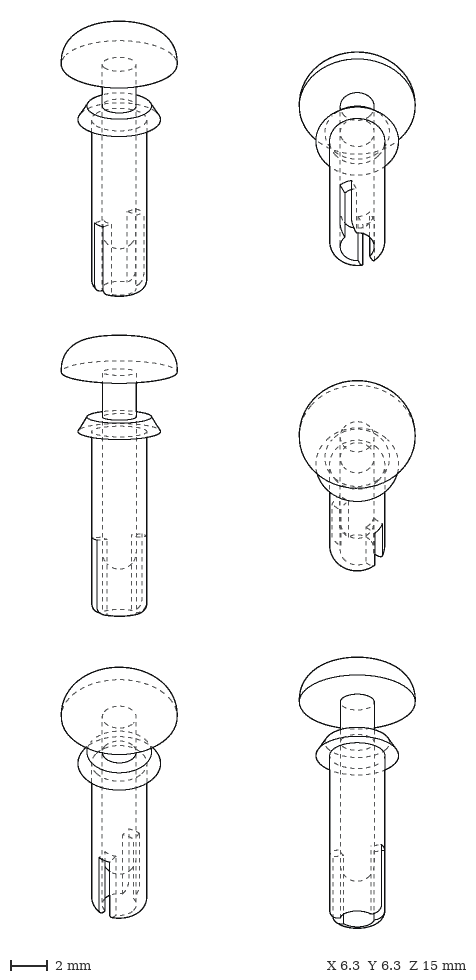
import cadquery as cq

total_height = 15.0

head_diameter = 6.3
head_height = 1.7
head_edge_radius = 1.5
shank_diameter = 1.85
shank_tip_z = 2.43
tip_radius = 0.92

sleeve_diameter = 3.0
sleeve_end_radius = 0.52
collar_top_z = 10.83
collar_height = 0.81
collar_top_diameter = 3.51
collar_bottom_diameter = 4.5
slot_width = 0.69
slot_height = 4.18

collar_bottom_z = collar_top_z - collar_height
head_bottom_z = total_height - head_height


def cylinder(diameter, bottom_z, top_z):
    """Upright cylinder on the Z axis."""
    return cq.Workplane("XY").workplane(offset=bottom_z).circle(diameter / 2).extrude(top_z - bottom_z)


def make_pin():
    """Domed head and the shank that fills the sleeve bore."""
    head = cylinder(head_diameter, head_bottom_z, total_height).faces(">Z").edges().fillet(head_edge_radius)
    shank = cylinder(shank_diameter, shank_tip_z, head_bottom_z).faces("<Z").edges().fillet(tip_radius)
    return head.union(shank)


def make_collar():
    """Flange that narrows toward its top."""
    return (
        cq.Workplane("XY")
        .workplane(offset=collar_bottom_z)
        .circle(collar_bottom_diameter / 2)
        .workplane(offset=collar_height)
        .circle(collar_top_diameter / 2)
        .loft(ruled=True)
    )


def make_sleeve():
    """Collared tube with a through bore and a slot across its lower end."""
    tube = cylinder(sleeve_diameter, 0, collar_bottom_z).faces("<Z").edges().fillet(sleeve_end_radius)
    bore = cylinder(shank_diameter, 0, collar_top_z)
    slot = cq.Workplane("XY").box(slot_width, sleeve_diameter, slot_height, centered=(True, True, False))
    return tube.union(make_collar()).cut(bore).cut(slot)


pin = make_pin()
sleeve = make_sleeve()
result = cq.Compound.makeCompound([pin.val(), sleeve.val()])